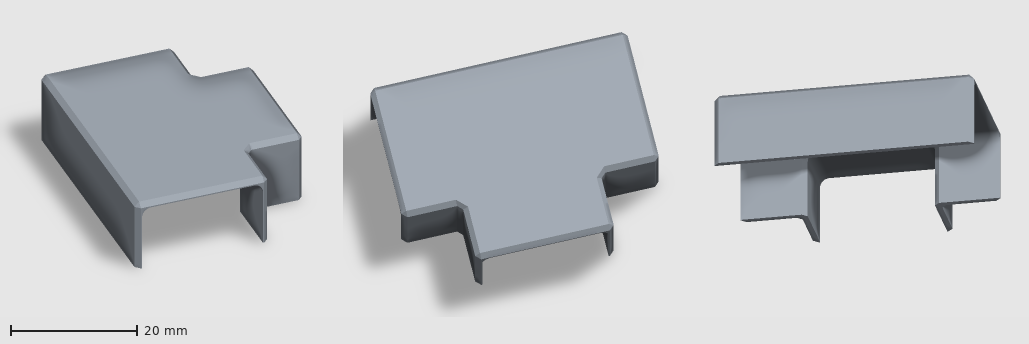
import cadquery as cq

run_length = 42.0
depth = 32.3
height = 12.1
branch_length = 9.7
wall = 1.0
edge_chamfer = 0.8
channel_fillet = 1.5

duct_width = depth - branch_length
channel_width = duct_width - 2 * wall
channel_height = height - wall
run_center_y = -branch_length / 2
branch_reach = depth / 2 - run_center_y


def outer_body():
    """Solid tee on Z = 0, centred on the run, upright and top edges chamfered together."""
    on_base = (True, True, False)
    run = cq.Workplane("XY").box(run_length, duct_width, height, centered=on_base)
    branch = (
        cq.Workplane("XY")
        .center(0, branch_reach / 2)
        .box(duct_width, branch_reach, height, centered=on_base)
    )
    return run.union(branch).edges("|Z or >Z").chamfer(edge_chamfer)


def channel_arm(length):
    """Channel cutter along +X from the origin, extending below Z = 0, with rounded upper corners."""
    return (
        cq.Workplane("YZ")
        .rect(channel_width, 2 * channel_height)
        .extrude(length)
        .edges("|X and >Z")
        .fillet(channel_fillet)
    )


def tee_channel():
    """Run and branch channels, open at all three ends, with bevelled inside wall corners."""
    run = channel_arm(run_length).translate((-run_length / 2, 0, 0))
    branch = channel_arm(branch_reach).rotate((0, 0, 0), (0, 0, 1), 90)
    corner_y = channel_width / 2
    inside_corners = cq.selectors.BoxSelector(
        (-duct_width / 2, corner_y - wall, -height),
        (duct_width / 2, corner_y + wall, height),
    )
    return run.union(branch).edges("|Z").edges(inside_corners).chamfer(edge_chamfer)


result = outer_body().cut(tee_channel()).translate((0, run_center_y, 0))